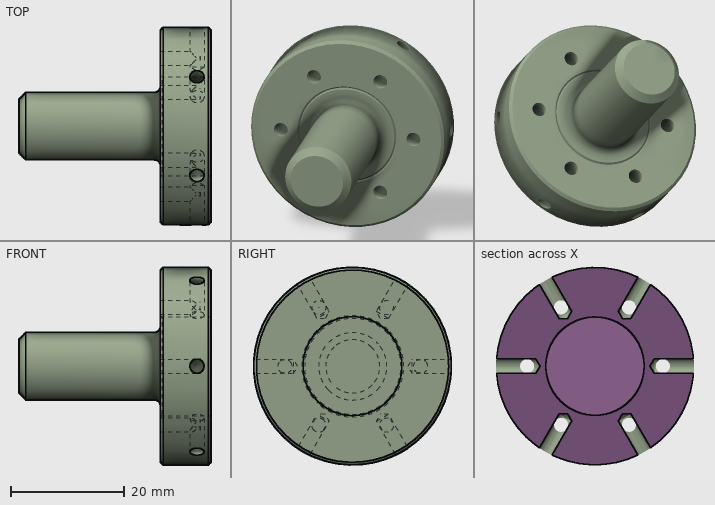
import cadquery as cq
import math

shaft_radius = 6.0
shaft_length = 25.0
tip_chamfer = 1.25
root_fillet = 1.0

collar_radius = 17.5
collar_thickness = 9.0
collar_edge_chamfer = 0.5

hub_radius = 8.75
joint_chamfer = 0.25

hole_count = 6
hole_radius = 1.25
hole_depth = 7.0
drill_point_angle = 118.0
face_hole_circle_radius = 12.0
radial_hole_from_back = 2.5

collar_front = shaft_length
collar_back = collar_front + collar_thickness
radial_hole_x = collar_back - radial_hole_from_back


def make_shaft():
    """Shaft with a chamfered tip and a hub, revolved from its half profile."""
    fillet_start = collar_front - root_fillet
    fillet_mid_offset = root_fillet * math.sqrt(0.5)
    fillet_end_radius = shaft_radius + root_fillet
    half_profile = (
        cq.Workplane("XY")
        .moveTo(0, 0)
        .lineTo(0, shaft_radius - tip_chamfer)
        .lineTo(tip_chamfer, shaft_radius)
        .lineTo(fillet_start, shaft_radius)
        .threePointArc(
            (fillet_start + fillet_mid_offset, fillet_end_radius - fillet_mid_offset),
            (collar_front, fillet_end_radius),
        )
        .lineTo(collar_front, hub_radius - joint_chamfer)
        .lineTo(collar_front + joint_chamfer, hub_radius)
        .lineTo(collar_back, hub_radius)
        .lineTo(collar_back, 0)
        .close()
    )
    return half_profile.revolve(360, (0, 0, 0), (1, 0, 0))


def make_collar_blank():
    """Plain ring with chamfered outer edges and a chamfered bore mouth."""
    half_profile = (
        cq.Workplane("XY")
        .moveTo(collar_front, hub_radius + joint_chamfer)
        .lineTo(collar_front, collar_radius - collar_edge_chamfer)
        .lineTo(collar_front + collar_edge_chamfer, collar_radius)
        .lineTo(collar_back - collar_edge_chamfer, collar_radius)
        .lineTo(collar_back, collar_radius - collar_edge_chamfer)
        .lineTo(collar_back, hub_radius)
        .lineTo(collar_front + joint_chamfer, hub_radius)
        .close()
    )
    return half_profile.revolve(360, (0, 0, 0), (1, 0, 0))


def drilled_hole(start, direction):
    """Volume of a blind drilled hole with a conical bottom."""
    start = cq.Vector(*start)
    direction = cq.Vector(*direction)
    point_length = hole_radius / math.tan(math.radians(drill_point_angle / 2))
    bore = cq.Solid.makeCylinder(hole_radius, hole_depth, start, direction)
    bore_end = start + direction * hole_depth
    point = cq.Solid.makeCone(hole_radius, 0, point_length, bore_end, direction)
    return bore.fuse(point)


def make_collar():
    """Collar with axial holes that open into radial holes from the rim."""
    collar = make_collar_blank()
    for index in range(hole_count):
        angle = 2 * math.pi * index / hole_count
        outward_y = math.cos(angle)
        outward_z = math.sin(angle)
        face_start = (
            collar_front,
            face_hole_circle_radius * outward_y,
            face_hole_circle_radius * outward_z,
        )
        rim_start = (radial_hole_x, collar_radius * outward_y, collar_radius * outward_z)
        collar = collar.cut(drilled_hole(face_start, (1, 0, 0)))
        collar = collar.cut(drilled_hole(rim_start, (0, -outward_y, -outward_z)))
    return collar


shaft = make_shaft()
collar = make_collar()

result = cq.Compound.makeCompound([shaft.val(), *collar.solids().vals()])